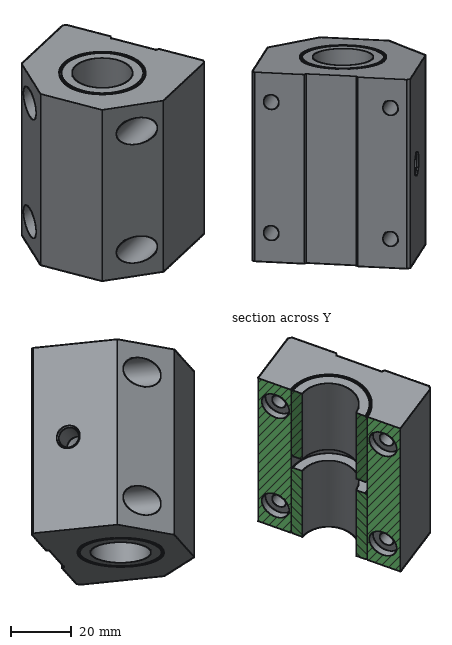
import cadquery as cq
import math

width = 53.0
depth = 45.0
height = 65.0
bore_to_back = 23.0
back_y = bore_to_back
front_y = back_y - depth
front_corner_chamfer = 15.0
back_corner_chamfer = 1.0

relief_width = 16.8
relief_depth = 1.0
relief_side_run = 0.6

bushing_diameter = 28.0
bushing_bore = 20.0
bushing_length = 30.0
bushing_chamfer = 0.5
housing_bore_chamfer = 0.3

mount_spacing_x = 40.0
mount_spacing_z = 45.0
mount_diameter = 5.1
counterbore_diameter = 10.0
counterbore_floor_to_back = 20.0

port_to_back = 13.0
port_diameter = 6.9
port_mouth_diameter = 8.0
port_depth = 10.0
port_tip_angle = 118.0


def block():
    half = width / 2
    relief_half = relief_width / 2
    relief_mouth_half = relief_half + relief_side_run
    relief_y = back_y - relief_depth
    outline = [
        (half - front_corner_chamfer, front_y),
        (half, front_y + front_corner_chamfer),
        (half, back_y - back_corner_chamfer),
        (half - back_corner_chamfer, back_y),
        (relief_mouth_half, back_y),
        (relief_half, relief_y),
    ]
    mirrored = [(-x, y) for x, y in reversed(outline)]
    return (
        cq.Workplane("XY")
        .polyline(outline + mirrored)
        .close()
        .extrude(height / 2, both=True)
    )


def main_bore():
    """Through bore along Z with a chamfered mouth at both ends."""
    radius = bushing_diameter / 2
    mouth_radius = radius + housing_bore_chamfer
    chamfer_z = height / 2 - housing_bore_chamfer
    profile = [
        (0, -height / 2),
        (mouth_radius, -height / 2),
        (radius, -chamfer_z),
        (radius, chamfer_z),
        (mouth_radius, height / 2),
        (0, height / 2),
    ]
    return cq.Workplane("XZ").polyline(profile).close().revolve(360, (0, 0), (0, 1))


def mounting_hole(x, z):
    """Through hole in Y, with its counterbore open to the front."""
    start = cq.Vector(x, front_y, z)
    direction = cq.Vector(0, 1, 0)
    counterbore_length = depth - counterbore_floor_to_back
    through = cq.Solid.makeCylinder(mount_diameter / 2, depth, start, direction)
    counterbore = cq.Solid.makeCylinder(counterbore_diameter / 2, counterbore_length, start, direction)
    return through.fuse(counterbore)


def port():
    """Blind hole in +X with a 45 degree countersink and a drill-point end."""
    radius = port_diameter / 2
    mouth_radius = port_mouth_diameter / 2
    countersink_depth = mouth_radius - radius
    tip_length = radius / math.tan(math.radians(port_tip_angle / 2))
    side_x = -width / 2
    port_y = back_y - port_to_back
    profile = [
        (side_x, port_y),
        (side_x, port_y + mouth_radius),
        (side_x + countersink_depth, port_y + radius),
        (side_x + port_depth, port_y + radius),
        (side_x + port_depth + tip_length, port_y),
    ]
    return cq.Workplane("XY").polyline(profile).close().revolve(360, (0, port_y), (1, port_y))


def make_housing():
    body = block().cut(main_bore()).cut(port())
    for x in (-mount_spacing_x / 2, mount_spacing_x / 2):
        for z in (-mount_spacing_z / 2, mount_spacing_z / 2):
            body = body.cut(cq.Workplane(mounting_hole(x, z)))
    return body


def make_bushing(bottom_z):
    """Plain sleeve with chamfered outer edges, standing on bottom_z."""
    sleeve = (
        cq.Workplane("XY", origin=(0, 0, bottom_z))
        .circle(bushing_diameter / 2)
        .extrude(bushing_length)
        .edges("%CIRCLE")
        .chamfer(bushing_chamfer)
    )
    bore = (
        cq.Workplane("XY", origin=(0, 0, bottom_z))
        .circle(bushing_bore / 2)
        .extrude(bushing_length)
    )
    return sleeve.cut(bore)


housing = make_housing()

bushings = []
for bushing_bottom_z in (-height / 2, height / 2 - bushing_length):
    bushings.append(make_bushing(bushing_bottom_z).val())

result = cq.Compound.makeCompound([housing.val(), *bushings])